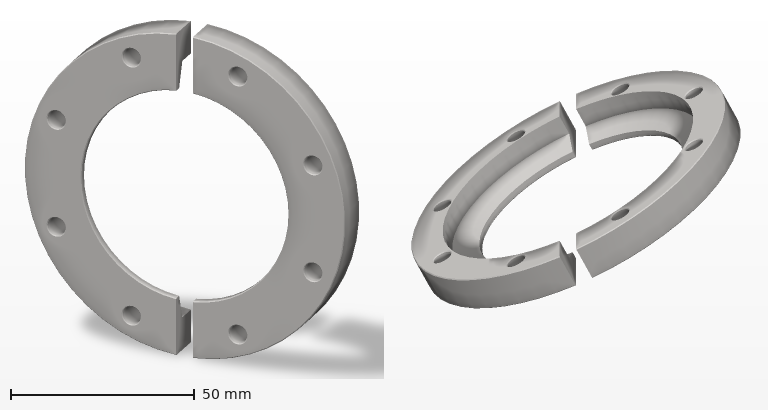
import cadquery as cq

outer_radius = 47.6
thickness = 9.9
split_gap = 5.0
edge_chamfer = 0.25

lip_radius = 30.8
lip_depth = 2.0
recess_radius = 38.0
cone_depth = 2.1

hole_count = 8
hole_diameter = 5.3
bolt_circle_radius = 41.3
hole_pitch = 360 / hole_count

front_y = -thickness / 2
back_y = thickness / 2
lip_end_y = front_y + lip_depth
recess_start_y = lip_end_y + cone_depth


def make_ring():
    """Revolve the half section (radius along X, axis along Y) into a full ring."""
    section = [
        (lip_radius + edge_chamfer, front_y),
        (outer_radius - edge_chamfer, front_y),
        (outer_radius, front_y + edge_chamfer),
        (outer_radius, back_y - edge_chamfer),
        (outer_radius - edge_chamfer, back_y),
        (recess_radius, back_y),
        (recess_radius, recess_start_y),
        (lip_radius, lip_end_y),
        (lip_radius, front_y + edge_chamfer),
    ]
    return cq.Workplane("XY").polyline(section).close().revolve(360, (0, 0, 0), (0, 1, 0))


def make_hole_cutter():
    """Through-hole at angle zero with a chamfered rim on the front and back faces."""
    hole_radius = hole_diameter / 2
    rim_radius = hole_radius + edge_chamfer
    section = [
        (0, front_y),
        (rim_radius, front_y),
        (hole_radius, front_y + edge_chamfer),
        (hole_radius, back_y - edge_chamfer),
        (rim_radius, back_y),
        (0, back_y),
    ]
    cutter = cq.Workplane("XY").polyline(section).close().revolve(360, (0, 0, 0), (0, 1, 0))
    return cutter.translate((bolt_circle_radius, 0, 0))


def make_drilled_ring():
    """Ring with all bolt holes, the first one half a pitch away from the X axis."""
    ring = make_ring()
    cutter = make_hole_cutter()
    for index in range(hole_count):
        angle = (index + 0.5) * hole_pitch
        ring = ring.cut(cutter.rotate((0, 0, 0), (0, 1, 0), angle))
    return ring


def make_half_ring(ring, side):
    """Keep the part of the ring on one side of the split; side is -1 for -X and +1 for +X."""
    keep_width = outer_radius
    keep_center_x = side * (split_gap / 2 + keep_width / 2)
    keep_box = cq.Workplane("XY").box(keep_width, 2 * thickness, 3 * outer_radius)
    return ring.intersect(keep_box.translate((keep_center_x, 0, 0)))


drilled_ring = make_drilled_ring()
half_rings = [make_half_ring(drilled_ring, side) for side in (-1, 1)]

result = cq.Compound.makeCompound([half_ring.val() for half_ring in half_rings])